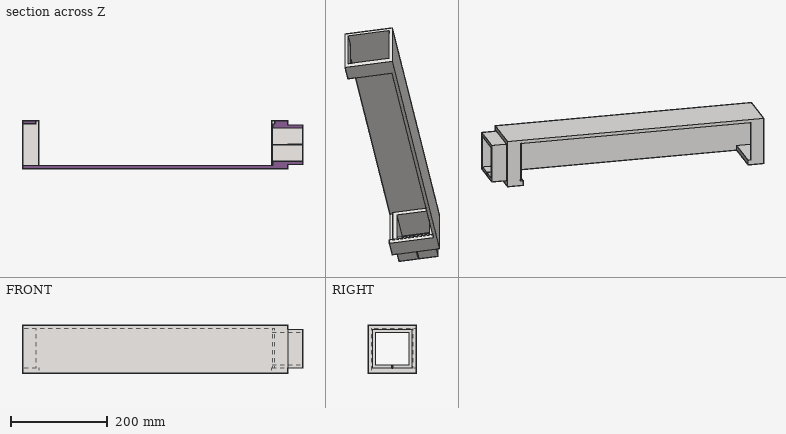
import cadquery as cq

TOTAL_LENGTH = 580.0
TUBE_SIZE = 100.0
TUBE_LENGTH = 548.5
WALL = 7.0
FLOOR = 10.5

BACK_COLLAR = 27.0
FLOOR_COLLAR = 33.5

SLEEVE_OFFSET = 8.5
SLEEVE_WALL = 7.0
SLEEVE_LENGTH = 2 * (TOTAL_LENGTH - TUBE_LENGTH)
SEAM_WIDTH = 1.0


def block(x_range, y_range, z_range):
    """Box given by its lower and upper limits along each axis."""
    (x0, x1), (y0, y1), (z0, z1) = x_range, y_range, z_range
    return cq.Workplane("XY").box(x1 - x0, y1 - y0, z1 - z0, centered=False).translate((x0, y0, z0))


def centred(width):
    """Limits of a width centred on the part's middle plane."""
    return (-width / 2, width / 2)


def make_tube():
    length = (0, TUBE_LENGTH)
    outside = block(length, centred(TUBE_SIZE), (0, TUBE_SIZE))
    bore = block(length, centred(TUBE_SIZE - 2 * WALL), (FLOOR, TUBE_SIZE - WALL))
    return outside.cut(bore)


def cut_open_sides(tube):
    """Remove the back wall and the floor between the end collars."""
    half = TUBE_SIZE / 2
    inner_half = half - WALL
    back_opening = block(
        (BACK_COLLAR, TUBE_LENGTH - BACK_COLLAR), (inner_half, half), (FLOOR, TUBE_SIZE - WALL)
    )
    floor_opening = block((FLOOR_COLLAR, TUBE_LENGTH - FLOOR_COLLAR), (-inner_half, half), (0, FLOOR))
    return tube.cut(back_opening).cut(floor_opening)


def make_sleeve():
    start = TOTAL_LENGTH - SLEEVE_LENGTH
    length = (start, TOTAL_LENGTH)
    width = TUBE_SIZE - 2 * SLEEVE_OFFSET
    bottom = FLOOR
    top = TUBE_SIZE - SLEEVE_OFFSET
    outside = block(length, centred(width), (bottom, top))
    root = block((start, TUBE_LENGTH), centred(TUBE_SIZE - 2 * WALL), (bottom, TUBE_SIZE - WALL))
    bore = block(length, centred(width - 2 * SLEEVE_WALL), (bottom + SLEEVE_WALL, top - SLEEVE_WALL))
    seam = block(length, centred(SEAM_WIDTH), (bottom, bottom + SLEEVE_WALL))
    return outside.union(root).cut(bore).cut(seam)


result = cut_open_sides(make_tube()).union(make_sleeve())